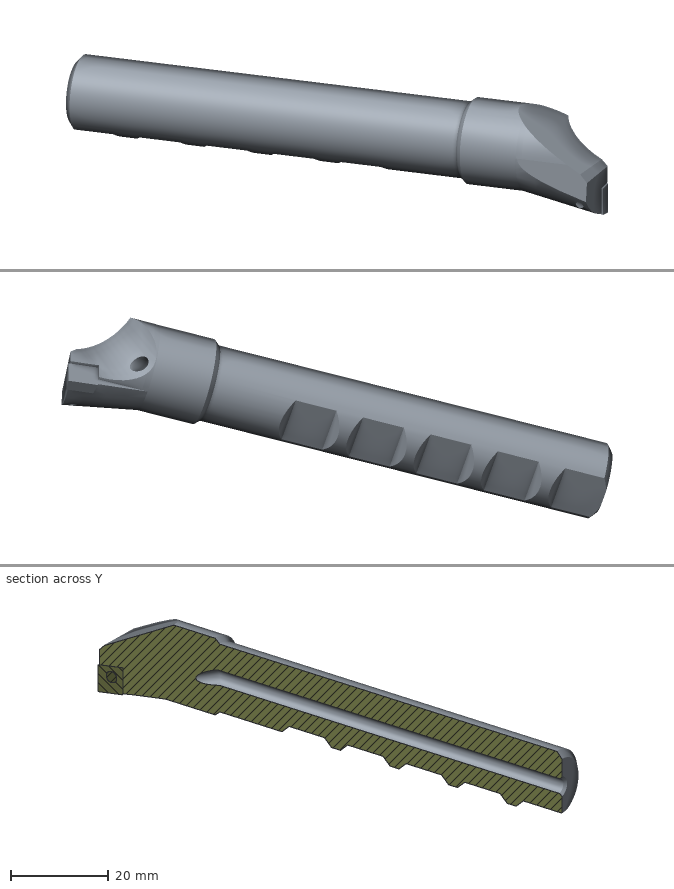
import cadquery as cq
import math

overall_height = 21.4
shank_radius = 16.0 / 2
rear_chamfer_length = 1.3
rear_chamfer_height = 1.5
collar_radius = 18.0 / 2
collar_start = 84.8
collar_chamfer = 1.2
collar_end = 98.0
nose_radius = 18.2 / 2
nose_start = 99.2

flat_level = -6.2
flat_length = 8.7
flat_pitch = 14.5
flat_count = 4
first_flat_center = 19.8
rear_flat_end = 9.7

bore_radius = 1.7
bore_mouth_radius = 2.3
bore_bend_x = 85.1
channel_run = 23.0
channel_side = 5.8
channel_drop = 8.0

flare_angle = 10.0
side_tilt = 6.7
slope_angle = 30.0
slope_start = 96.1
slope_lean = 2.8
chip_floor = 0.7
chip_radius = 11.0
chip_center = 19.1
tip_x = 114.7
relief_angle = 7.0
end_chamfer_length = 1.3
end_chamfer_drop = 1.4

rake_level = 0.1
insert_edge = 6.4
insert_thickness = 2.4
insert_corner_angle = 80.0
insert_corner_x = 115.0
insert_corner_z = collar_radius - overall_height
screw_x = 111.5
screw_z = -7.8
screw_radius = 0.86
screw_head_radius = 1.7
screw_length = 8.0

reach = 46.0


def tangent(angle):
    return math.tan(math.radians(angle))


def plane_xz(level):
    """Workplane with local x along X, local y along Z and its normal along -Y."""
    return cq.Workplane("XZ", origin=(0, level, 0))


def turned_blank():
    """Shank, collar and nose as one turned shape."""
    return (
        cq.Workplane("XY")
        .moveTo(0, 0)
        .lineTo(0, shank_radius - rear_chamfer_height)
        .lineTo(rear_chamfer_length, shank_radius)
        .lineTo(collar_start, shank_radius)
        .lineTo(collar_start + collar_chamfer, collar_radius)
        .lineTo(collar_end, collar_radius)
        .lineTo(nose_start, nose_radius)
        .lineTo(insert_corner_x, nose_radius)
        .lineTo(insert_corner_x, 0)
        .close()
        .revolve(360, (0, 0, 0), (1, 0, 0))
    )


def flare():
    """Conical underside of the nose, trimmed by the flank plane and the rake plane."""
    end_radius = collar_radius + (insert_corner_x - collar_end) * tangent(flare_angle)
    cone = (
        cq.Workplane("XY")
        .moveTo(collar_end, 0)
        .lineTo(collar_end, collar_radius)
        .lineTo(insert_corner_x, end_radius)
        .lineTo(insert_corner_x, 0)
        .close()
        .revolve(360, (0, 0, 0), (1, 0, 0))
    )
    touch_y = -nose_radius * math.cos(math.radians(side_tilt))
    touch_z = nose_radius * math.sin(math.radians(side_tilt))
    keep = (
        cq.Workplane("YZ", origin=(collar_end, 0, 0))
        .moveTo(rake_level, touch_z)
        .lineTo(touch_y, touch_z)
        .lineTo(touch_y - (touch_z + reach) * tangent(side_tilt), -reach)
        .lineTo(rake_level, -reach)
        .close()
        .extrude(reach)
    )
    return cone.intersect(keep)


def flat_cutter(start, end):
    """Trapezoidal milling cut below the flat level with 45 degree end walls."""
    depth = 2 * shank_radius
    return (
        cq.Workplane("XZ")
        .moveTo(start, flat_level)
        .lineTo(end, flat_level)
        .lineTo(end + depth, flat_level - depth)
        .lineTo(start - depth, flat_level - depth)
        .close()
        .extrude(shank_radius, both=True)
    )


def coolant_bore():
    """Axial bore with a countersunk mouth, a round elbow and an angled outlet channel."""
    bore = cq.Workplane("YZ").circle(bore_radius).extrude(bore_bend_x)
    mouth = (
        cq.Workplane("YZ")
        .circle(bore_mouth_radius)
        .workplane(offset=bore_mouth_radius - bore_radius)
        .circle(bore_radius)
        .loft()
    )
    elbow = cq.Workplane("XY").sphere(bore_radius).translate((bore_bend_x, 0, 0))
    channel_plane = cq.Plane(
        origin=(bore_bend_x, 0, 0),
        normal=(channel_run, channel_side, -channel_drop),
    )
    channel_length = math.hypot(channel_run, channel_side, channel_drop)
    channel = cq.Workplane(channel_plane).circle(bore_radius).extrude(channel_length)
    return bore.union(mouth).union(elbow).union(channel)


def slope_plane(lean=0):
    """Workplane sloping down toward the tip and, by the lean angle, toward -Y."""
    slope = math.radians(slope_angle)
    plane = cq.Plane(
        origin=(slope_start, 0, collar_radius),
        xDir=(math.cos(slope), 0, -math.sin(slope)),
        normal=(math.sin(slope), 0, math.cos(slope)),
    )
    return plane.rotated((lean, 0, 0))


def slope_cutter():
    """Everything above the sloped top face."""
    return cq.Workplane(slope_plane(slope_lean)).rect(2 * reach, reach).extrude(reach)


def chip_pocket():
    """Concave chip clearance on the +Y side, cut at the slope angle without the lean."""
    arc_middle = math.radians(45)
    arc_center_y = chip_floor + chip_radius
    return (
        cq.Workplane(slope_plane())
        .moveTo(reach, chip_floor)
        .lineTo(chip_center, chip_floor)
        .threePointArc(
            (
                chip_center - chip_radius * math.sin(arc_middle),
                arc_center_y - chip_radius * math.cos(arc_middle),
            ),
            (chip_center - chip_radius, arc_center_y),
        )
        .lineTo(reach, arc_center_y)
        .close()
        .extrude(reach, both=True)
    )


def end_cutter():
    """Everything beyond the relieved end face and its chamfer under the sloped face."""
    chamfer_x = tip_x - end_chamfer_length
    chamfer_z = collar_radius - (chamfer_x - slope_start) * tangent(slope_angle)
    return (
        cq.Workplane("XZ")
        .moveTo(tip_x, -reach)
        .lineTo(tip_x, chamfer_z - end_chamfer_drop)
        .lineTo(tip_x - 2 * end_chamfer_length, chamfer_z + end_chamfer_drop)
        .lineTo(tip_x - 2 * end_chamfer_length, reach)
        .lineTo(tip_x + reach, reach)
        .lineTo(tip_x + reach, -reach)
        .close()
        .extrude(reach, both=True)
        .rotate((tip_x, 0, 0), (tip_x, 0, 1), -relief_angle)
    )


def insert_outline():
    """Rhombic insert outline on the rake plane, its cutting corner at the lower right."""
    lean = math.radians(90 - insert_corner_angle)
    run = insert_edge * math.cos(lean)
    climb = insert_edge * math.sin(lean)
    return plane_xz(rake_level).polyline(
        [
            (insert_corner_x, insert_corner_z),
            (insert_corner_x, insert_corner_z + insert_edge),
            (insert_corner_x - run, insert_corner_z + climb + insert_edge),
            (insert_corner_x - run, insert_corner_z + climb),
        ]
    ).close()


def insert_blank():
    """Insert without its screw hole; the flanks taper inward from the rake face."""
    return insert_outline().extrude(insert_thickness, taper=relief_angle)


def make_screw():
    """Countersunk screw, head flush with the rake face, running toward -Y."""
    head_height = screw_head_radius - screw_radius
    head = (
        plane_xz(rake_level)
        .center(screw_x, screw_z)
        .circle(screw_head_radius)
        .workplane(offset=head_height)
        .circle(screw_radius)
        .loft()
    )
    shaft = plane_xz(rake_level).center(screw_x, screw_z).circle(screw_radius).extrude(screw_length)
    return head.union(shaft)


def make_insert(screw):
    return insert_blank().cut(screw)


def make_bar():
    bar = turned_blank().union(flare())
    bar = bar.cut(flat_cutter(-flat_length, rear_flat_end))
    for index in range(flat_count):
        center = first_flat_center + index * flat_pitch
        bar = bar.cut(flat_cutter(center - flat_length / 2, center + flat_length / 2))
    bar = bar.cut(coolant_bore())
    bar = bar.cut(slope_cutter())
    bar = bar.cut(chip_pocket())
    bar = bar.cut(end_cutter())
    bar = bar.cut(insert_blank())
    bar = bar.cut(insert_outline().extrude(-reach))
    screw_hole = plane_xz(rake_level).center(screw_x, screw_z).circle(screw_radius).extrude(reach)
    return bar.cut(screw_hole)


screw = make_screw()
insert = make_insert(screw)
bar = make_bar()

result = cq.Compound.makeCompound([bar.val(), insert.val(), screw.val()])